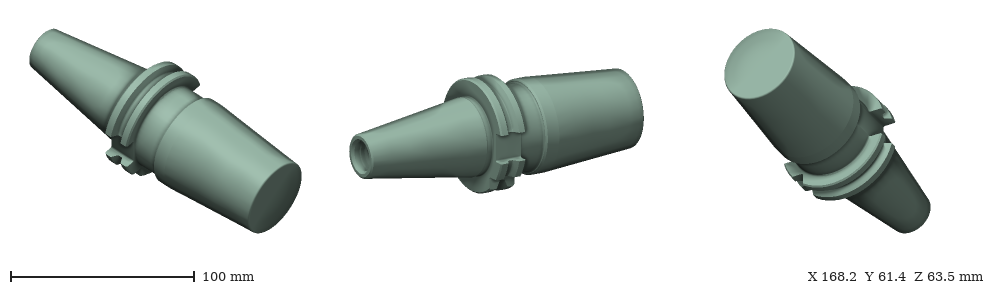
import cadquery as cq
import math


TOTAL_LENGTH = 168.25
TAPER_LENGTH = 68.25
FLANGE_START = TAPER_LENGTH + 3.0
FLANGE_END = TAPER_LENGTH + 19.05
COLLAR_START = 102.6
COLLAR_END = 111.0

GAUGE_RADIUS = 44.45 / 2
TAPER_SLOPE = 7 / 24 / 2
SMALL_END_RADIUS = GAUGE_RADIUS - TAPER_LENGTH * TAPER_SLOPE
SMALL_END_CHAMFER = 0.8
UNDERCUT_RADIUS = 21.9
UNDERCUT_CHAMFER = 0.8
UNDERCUT_FILLET = 0.5

FLANGE_RADIUS = 63.52 / 2
FLANGE_CHAMFER = 0.8
GROOVE_CENTRE = TAPER_LENGTH + 11.1
GROOVE_BOTTOM_RADIUS = 56.25 / 2
GROOVE_MOUTH_WIDTH = 7.0
GROOVE_WALL_ANGLE = 30.0
GROOVE_FILLET = 0.8

NECK_RADIUS = 24.5
NECK_FILLET = 1.0
COLLAR_RADIUS = 26.6
COLLAR_CHAMFER = 1.0
NOSE_TAPER_ANGLE = 4.5
NOSE_END_RADIUS = COLLAR_RADIUS - (TOTAL_LENGTH - COLLAR_END) * math.tan(math.radians(NOSE_TAPER_ANGLE))
NOSE_FILLET = 1.0

SLOT_WIDTH = 16.2
SHALLOW_SLOT_FLOOR = 25.0
DEEP_SLOT_FLOOR = 22.8
NOTCH_OFFSET = 18.5
SLOT_FILLET = 1.0

BORE_MOUTH_RADIUS = 9.7
PILOT_RADIUS = 8.3
PILOT_DEPTH = 4.7
THREAD_RADIUS = 7.8
THREAD_END = 7.6
DRILL_RADIUS = 6.8
RUNOUT_END = THREAD_END + THREAD_RADIUS - DRILL_RADIUS
DRILL_DEPTH = 28.0
DRILL_POINT_ANGLE = 118.0


def revolve_about_x(profile):
    """Turn a closed profile, drawn as (x, radius), about the X axis."""
    return profile.close().revolve(360, (0, 0, 0), (1, 0, 0))


def turned_body():
    profile = (
        cq.Workplane("XY")
        .lineTo(0, SMALL_END_RADIUS - SMALL_END_CHAMFER)
        .lineTo(SMALL_END_CHAMFER, SMALL_END_RADIUS + SMALL_END_CHAMFER * TAPER_SLOPE)
        .lineTo(TAPER_LENGTH - UNDERCUT_CHAMFER, GAUGE_RADIUS - UNDERCUT_CHAMFER * TAPER_SLOPE)
        .lineTo(TAPER_LENGTH, UNDERCUT_RADIUS)
        .lineTo(FLANGE_START - UNDERCUT_FILLET, UNDERCUT_RADIUS)
        .radiusArc((FLANGE_START, UNDERCUT_RADIUS + UNDERCUT_FILLET), -UNDERCUT_FILLET)
        .lineTo(FLANGE_START, FLANGE_RADIUS - FLANGE_CHAMFER)
        .lineTo(FLANGE_START + FLANGE_CHAMFER, FLANGE_RADIUS)
        .lineTo(FLANGE_END - FLANGE_CHAMFER, FLANGE_RADIUS)
        .lineTo(FLANGE_END, FLANGE_RADIUS - FLANGE_CHAMFER)
        .lineTo(FLANGE_END, NECK_RADIUS + NECK_FILLET)
        .radiusArc((FLANGE_END + NECK_FILLET, NECK_RADIUS), -NECK_FILLET)
        .lineTo(COLLAR_START - NECK_FILLET, NECK_RADIUS)
        .radiusArc((COLLAR_START, NECK_RADIUS + NECK_FILLET), -NECK_FILLET)
        .lineTo(COLLAR_START, COLLAR_RADIUS - COLLAR_CHAMFER)
        .lineTo(COLLAR_START + COLLAR_CHAMFER, COLLAR_RADIUS)
        .lineTo(COLLAR_END, COLLAR_RADIUS)
        .lineTo(TOTAL_LENGTH, NOSE_END_RADIUS)
        .lineTo(TOTAL_LENGTH, 0)
    )
    return revolve_about_x(profile).faces(">X").edges().fillet(NOSE_FILLET)


def gripper_groove():
    wall_slope = math.tan(math.radians(GROOVE_WALL_ANGLE))
    half_mouth = GROOVE_MOUTH_WIDTH / 2
    half_bottom = half_mouth - (FLANGE_RADIUS - GROOVE_BOTTOM_RADIUS) * wall_slope
    profile = (
        cq.Workplane("XY")
        .moveTo(GROOVE_CENTRE - half_mouth, FLANGE_RADIUS)
        .lineTo(GROOVE_CENTRE - half_bottom, GROOVE_BOTTOM_RADIUS)
        .lineTo(GROOVE_CENTRE + half_bottom, GROOVE_BOTTOM_RADIUS)
        .lineTo(GROOVE_CENTRE + half_mouth, FLANGE_RADIUS)
    )
    groove = revolve_about_x(profile)
    smallest_circles = cq.selectors.RadiusNthSelector(0)
    return groove.edges(smallest_circles).fillet(GROOVE_FILLET)


def box_between(x_range, y_range, z_range):
    """Make a box from its (low, high) limits along each axis."""
    sizes = [high - low for low, high in (x_range, y_range, z_range)]
    corner = (x_range[0], y_range[0], z_range[0])
    return cq.Workplane("XY").box(*sizes, centered=False).translate(corner)


def drive_slots():
    x_range = (FLANGE_START, COLLAR_START)
    z_range = (-SLOT_WIDTH / 2, SLOT_WIDTH / 2)
    shallow = box_between(x_range, (-FLANGE_RADIUS, -SHALLOW_SLOT_FLOOR), z_range)
    deep = box_between(x_range, (DEEP_SLOT_FLOOR, FLANGE_RADIUS), z_range)
    shallow = shallow.faces(">Y").edges("|X").fillet(SLOT_FILLET)
    deep = deep.faces("<Y").edges("|X").fillet(SLOT_FILLET)
    return shallow.union(deep)


def orientation_notch():
    outside = (-FLANGE_RADIUS, -NOTCH_OFFSET)
    notch = box_between((FLANGE_START, FLANGE_END), outside, outside)
    return notch.edges("|X and >Y and >Z").fillet(SLOT_FILLET)


def pull_stud_bore():
    chamfer = BORE_MOUTH_RADIUS - PILOT_RADIUS
    step = PILOT_RADIUS - THREAD_RADIUS
    point = DRILL_RADIUS / math.tan(math.radians(DRILL_POINT_ANGLE / 2))
    profile = (
        cq.Workplane("XY")
        .lineTo(0, BORE_MOUTH_RADIUS)
        .lineTo(chamfer, PILOT_RADIUS)
        .lineTo(PILOT_DEPTH, PILOT_RADIUS)
        .lineTo(PILOT_DEPTH + step, THREAD_RADIUS)
        .lineTo(THREAD_END, THREAD_RADIUS)
        .lineTo(RUNOUT_END, DRILL_RADIUS)
        .lineTo(DRILL_DEPTH, DRILL_RADIUS)
        .lineTo(DRILL_DEPTH + point, 0)
    )
    return revolve_about_x(profile)


result = (
    turned_body()
    .cut(gripper_groove())
    .cut(drive_slots())
    .cut(orientation_notch())
    .cut(pull_stud_bore())
)